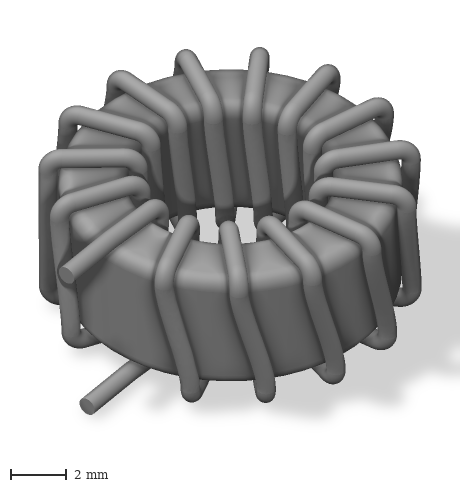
import cadquery as cq
import math

core_outer_radius = 6.15
core_inner_radius = 3.68
core_height = 4.85
core_edge_radius = 0.5

wire_diameter = 0.69
turn_count = 15
turn_angle = 360 / turn_count
outer_run_radius = 6.51
inner_run_radius = 3.295
spoke_offset = 0.49
bend_radius = 0.5
run_end_pull = 1.0
first_turn_angle = 300

lead_length = 2.51
lead_angle = 303

UPPER = 1
LOWER = -1
OUTWARD = 1
INWARD = -1

spoke_height = (core_height + wire_diameter) / 2
bend_height = spoke_height - bend_radius
bend_middle = bend_radius * math.sin(math.radians(45))
spoke_outer_end = outer_run_radius - bend_radius
spoke_inner_end = inner_run_radius + bend_radius
lead_vector = cq.Vector(
    lead_length * math.cos(math.radians(lead_angle)),
    lead_length * math.sin(math.radians(lead_angle)),
    0,
)


def turn_point(turn, face, along, height):
    """Point on the wire's centre line, at a distance along a spoke and a height toward its face."""
    angle = math.radians(first_turn_angle + turn * turn_angle)
    across = -face * spoke_offset
    x = along * math.cos(angle) - across * math.sin(angle)
    y = along * math.sin(angle) + across * math.cos(angle)
    return cq.Vector(x, y, face * height)


def spoke(turn, face):
    """Straight stretch of wire across a face of the core."""
    return cq.Edge.makeLine(
        turn_point(turn, face, spoke_inner_end, spoke_height),
        turn_point(turn, face, spoke_outer_end, spoke_height),
    )


def bend(turn, face, spoke_end, direction):
    """Quarter bend from the end of a spoke into the vertical run beside the core."""
    return cq.Edge.makeThreePointArc(
        turn_point(turn, face, spoke_end, spoke_height),
        turn_point(turn, face, spoke_end + direction * bend_middle, bend_height + bend_middle),
        turn_point(turn, face, spoke_end + direction * bend_radius, bend_height),
    )


def vertical_run(top, bottom):
    """Slightly S-shaped run beside the core, vertical at both ends."""
    pull = cq.Vector(0, 0, run_end_pull)
    return cq.Edge.makeBezier([top, top - pull, bottom + pull, bottom])


def outer_run(turn):
    """Run down the rim, from the upper to the lower spoke of a turn."""
    return vertical_run(
        turn_point(turn, UPPER, outer_run_radius, bend_height),
        turn_point(turn, LOWER, outer_run_radius, bend_height),
    )


def inner_run(turn):
    """Run through the hole, between the lower spoke of a turn and the upper spoke of the next."""
    return vertical_run(
        turn_point(turn + 1, UPPER, inner_run_radius, bend_height),
        turn_point(turn, LOWER, inner_run_radius, bend_height),
    )


def spoke_end_at_lead(turn, face):
    return turn_point(turn, face, spoke_outer_end, spoke_height)


def lead_tip(turn, face):
    return spoke_end_at_lead(turn, face) + lead_vector


def winding_path():
    """Centre line from the tip of the lower lead, around all turns, to the tip of the upper lead."""
    edges = [cq.Edge.makeLine(lead_tip(0, LOWER), spoke_end_at_lead(0, LOWER))]
    for turn in range(turn_count):
        if turn > 0:
            edges.append(bend(turn, UPPER, spoke_outer_end, OUTWARD))
            edges.append(outer_run(turn))
            edges.append(bend(turn, LOWER, spoke_outer_end, OUTWARD))
        edges.append(spoke(turn, LOWER))
        edges.append(bend(turn, LOWER, spoke_inner_end, INWARD))
        edges.append(inner_run(turn))
        edges.append(bend(turn + 1, UPPER, spoke_inner_end, INWARD))
        edges.append(spoke(turn + 1, UPPER))
    edges.append(cq.Edge.makeLine(spoke_end_at_lead(turn_count, UPPER), lead_tip(turn_count, UPPER)))
    return cq.Wire.assembleEdges(edges)


def build_core():
    return (
        cq.Workplane("XY", origin=(0, 0, -core_height / 2))
        .circle(core_outer_radius)
        .circle(core_inner_radius)
        .extrude(core_height)
        .edges("%CIRCLE")
        .fillet(core_edge_radius)
    )


def build_winding():
    tip_plane = cq.Plane(origin=lead_tip(0, LOWER), normal=-lead_vector)
    wire_section = cq.Workplane(tip_plane).circle(wire_diameter / 2)
    return wire_section.sweep(cq.Workplane(winding_path()), transition="right")


core = build_core()
winding = build_winding()
result = cq.Compound.makeCompound([core.val(), winding.val()])